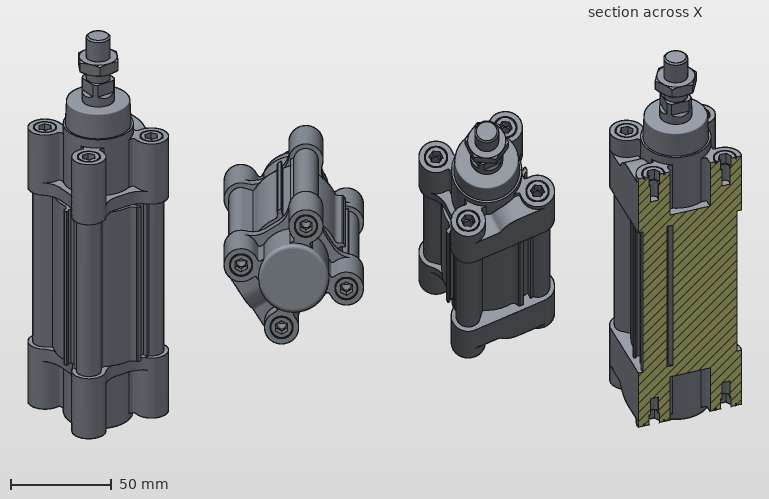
import cadquery as cq
import math

TOTAL_HEIGHT = 213.0
PILOT_HEIGHT = 4.5
CAP_HEIGHT = 33.9
TUBE_LENGTH = 86.7
FRONT_PILOT_TOP = 163.5
COLLAR_TOP = 177.0
ROD_SHOULDER_TOP = 189.1
TUBE_BOTTOM = PILOT_HEIGHT + CAP_HEIGHT
TUBE_TOP = TUBE_BOTTOM + TUBE_LENGTH

OUTER_WIDTH = 55.0
BOSS_RADIUS = 8.5
BOSS_OFFSET = OUTER_WIDTH / 2 - BOSS_RADIUS
CORE_WIDTH = 31.5
WEB_FILLET = 0.9
FLANGE_WIDTH = 41.3
FLANGE_THICKNESS = 7.0
FLANGE_FILLET = 12.4

SCREW_HEAD_DIAMETER = 10.6
SCREW_BORE_DIAMETER = 11.5
SCREW_GAP_DEPTH = 1.0
SOCKET_WIDTH = 6.0
SOCKET_DEPTH = 6.0
SCREW_THREAD_DIAMETER = 5.0
SCREW_THREAD_DEPTH = 16.0

PORT_HIGH_STEP = 30.5
PORT_ROUND_START = -5.3
PORT_ROUND_RADIUS = 11.7
PORT_ROUND_ANGLE = 60
PORT_FOOT_RADIUS = 2.3

PILOT_DIAMETER = 35.0
PILOT_EDGE_FILLET = 2.0
COLLAR_TOP_DIAMETER = 31.5
COLLAR_BOTTOM_DIAMETER = 32.8
COLLAR_EDGE_FILLET = 0.6

BARREL_RADIUS = 22.4
TUBE_CORNER_RADIUS = 6.2
CORNER_ARC_END = 15.3
BARREL_LEFT_END = -10.2
BARREL_RIGHT_END = 3.0
HOOK_STEM_X = 7.2
HOOK_TIP_X = 8.3
HOOK_TIP_Y = -25.1
SLOT_WALL_X = 13.0

ROD_DIAMETER = 16.0
ROD_FLATS_WIDTH = 13.0
ROD_FLATS_BOTTOM = 182.5
ROD_FLATS_RUNOUT = 1.3
THREAD_DIAMETER = 12.0
THREAD_CHAMFER = 0.9

NUT_WIDTH = 19.0
NUT_THICKNESS = 6.2
NUT_BOTTOM = 195.1
NUT_CHAMFER_HEIGHT = 0.6
NUT_CHAMFER_WIDTH = 1.5


def hexagon_diameter(width):
    """Diameter across corners of a hexagon with the given width across flats."""
    return width / math.cos(math.radians(30))


def hexagon_prism(width, height):
    """Hexagonal prism on Z = 0 with corners pointing along +Y and -Y."""
    prism = cq.Workplane("XY").polygon(6, hexagon_diameter(width)).extrude(height)
    return prism.rotate((0, 0, 0), (0, 0, 1), 90)


def boss_centers():
    """Centers of the four bosses at the corners of a square."""
    return [(sx * BOSS_OFFSET, sy * BOSS_OFFSET) for sx in (-1, 1) for sy in (-1, 1)]


def cap_column():
    """Square core joined to four round bosses by webs, standing on Z = 0."""
    core = cq.Workplane("XY").rect(CORE_WIDTH, CORE_WIDTH).extrude(CAP_HEIGHT)
    bosses = cq.Workplane("XY").pushPoints(boss_centers()).circle(BOSS_RADIUS).extrude(CAP_HEIGHT)
    column = core.union(bosses)
    half_core = CORE_WIDTH / 2
    inner = BOSS_OFFSET - BOSS_RADIUS
    edge_reach = 0.1
    for boss_x, boss_y in boss_centers():
        side_x = math.copysign(1, boss_x)
        side_y = math.copysign(1, boss_y)
        web_x = boss_x - side_x * BOSS_RADIUS / 2
        web_y = boss_y - side_y * BOSS_RADIUS / 2
        web = (
            cq.Workplane("XY", origin=(web_x, web_y, 0))
            .rect(BOSS_RADIUS, BOSS_RADIUS)
            .extrude(CAP_HEIGHT)
        )
        column = column.union(web)
        for x, y in ((side_x * half_core, side_y * inner), (side_x * inner, side_y * half_core)):
            corner = cq.selectors.BoxSelector(
                (x - edge_reach, y - edge_reach, 0),
                (x + edge_reach, y + edge_reach, CAP_HEIGHT),
            )
            column = column.edges("|Z").edges(corner).fillet(WEB_FILLET)
    return column


def cap_flange():
    """Plate at the tube end whose sides sweep in concave arcs out to the bosses."""
    half = FLANGE_WIDTH / 2
    arc_center_y = -half - FLANGE_FILLET
    rise = BOSS_OFFSET + arc_center_y
    reach = math.sqrt((BOSS_RADIUS + FLANGE_FILLET) ** 2 - rise ** 2)
    arc_center_x = BOSS_OFFSET - reach
    centers_distance = BOSS_RADIUS + FLANGE_FILLET
    tangent_x = arc_center_x + FLANGE_FILLET * reach / centers_distance
    tangent_y = arc_center_y - FLANGE_FILLET * rise / centers_distance
    filler = (
        cq.Workplane("XY")
        .moveTo(-tangent_x, tangent_y)
        .radiusArc((-arc_center_x, -half), FLANGE_FILLET)
        .lineTo(arc_center_x, -half)
        .radiusArc((tangent_x, tangent_y), FLANGE_FILLET)
        .lineTo(BOSS_OFFSET, -BOSS_OFFSET)
        .lineTo(0, 0)
        .lineTo(-BOSS_OFFSET, -BOSS_OFFSET)
        .close()
        .extrude(FLANGE_THICKNESS)
    )
    flange = filler
    for turn in (90, 180, 270):
        flange = flange.union(filler.rotate((0, 0, 0), (0, 0, 1), turn))
    return flange


def port_block():
    """Wall between the two +Y bosses; its top rolls down from a high to a low step."""
    sweep = math.radians(PORT_ROUND_ANGLE)
    round_end = PORT_ROUND_START + PORT_ROUND_RADIUS * math.sin(sweep)
    round_bottom = PORT_HIGH_STEP - PORT_ROUND_RADIUS * (1 - math.cos(sweep))
    foot_end = round_end + PORT_FOOT_RADIUS * math.sin(sweep)
    low_step = round_bottom - PORT_FOOT_RADIUS * (1 - math.cos(sweep))
    return (
        cq.Workplane("XZ", origin=(0, OUTER_WIDTH / 2, 0))
        .moveTo(-BOSS_OFFSET, 0)
        .lineTo(-BOSS_OFFSET, PORT_HIGH_STEP)
        .lineTo(PORT_ROUND_START, PORT_HIGH_STEP)
        .radiusArc((round_end, round_bottom), PORT_ROUND_RADIUS)
        .radiusArc((foot_end, low_step), -PORT_FOOT_RADIUS)
        .lineTo(BOSS_OFFSET, low_step)
        .lineTo(BOSS_OFFSET, 0)
        .close()
        .extrude((OUTER_WIDTH - CORE_WIDTH) / 2)
    )


def cut_screw_details(cap):
    """Gap around each screw head, its hexagon socket and the threaded hole below."""
    socket = hexagon_prism(SOCKET_WIDTH, SOCKET_DEPTH)
    for x, y in boss_centers():
        gap = (
            cq.Workplane("XY", origin=(x, y, CAP_HEIGHT - SCREW_GAP_DEPTH))
            .circle(SCREW_BORE_DIAMETER / 2)
            .circle(SCREW_HEAD_DIAMETER / 2)
            .extrude(SCREW_GAP_DEPTH)
        )
        thread = (
            cq.Workplane("XY", origin=(x, y, CAP_HEIGHT - SCREW_THREAD_DEPTH))
            .circle(SCREW_THREAD_DIAMETER / 2)
            .extrude(SCREW_THREAD_DEPTH)
        )
        cap = cap.cut(gap).cut(thread).cut(socket.translate((x, y, CAP_HEIGHT - SOCKET_DEPTH)))
    return cap


def make_cap():
    """End cap with its tube side on Z = 0 and its outer face at the cap height."""
    cap = cap_column().union(cap_flange()).union(port_block())
    return cut_screw_details(cap)


def make_tube():
    """Tube with four equal sides, each a barrel arc with a hooked sensor slot beside it.

    The points describe the -Y side from left to right; the other sides are its quarter turns.
    """
    corner_drop = math.sqrt(TUBE_CORNER_RADIUS ** 2 - (BOSS_OFFSET - CORNER_ARC_END) ** 2)
    corner_depth = BOSS_OFFSET + corner_drop
    corner_middle = BOSS_OFFSET + TUBE_CORNER_RADIUS * math.sqrt(0.5)

    def on_barrel(x):
        return (x, -math.sqrt(BARREL_RADIUS ** 2 - x ** 2))

    valley = (-11.5, -19.5)
    barrel_start = on_barrel(BARREL_LEFT_END)
    barrel_end = on_barrel(BARREL_RIGHT_END)
    hook_flank_middle = (4.7, -22.8)
    hook_flank_end = (5.8, -24.7)
    hook_tip = [(6.5, HOOK_TIP_Y), (HOOK_TIP_X, HOOK_TIP_Y), (HOOK_TIP_X, -24.3), (HOOK_STEM_X, -23.2)]
    slot_floor = [(HOOK_STEM_X, -21.5), (SLOT_WALL_X, -20.5)]
    corner_lip = [(SLOT_WALL_X, -23.6), (14.5, -23.2)]

    def turned(point, quarter):
        x, y = point
        for _ in range(quarter):
            x, y = -y, x
        return (x, y)

    profile = cq.Workplane("XY", origin=(0, 0, TUBE_BOTTOM)).moveTo(-CORNER_ARC_END, -corner_depth)
    for quarter in range(4):
        profile = (
            profile.lineTo(*turned(valley, quarter))
            .lineTo(*turned(barrel_start, quarter))
            .threePointArc(turned(on_barrel(0), quarter), turned(barrel_end, quarter))
            .threePointArc(turned(hook_flank_middle, quarter), turned(hook_flank_end, quarter))
        )
        for point in hook_tip + slot_floor + corner_lip + [(CORNER_ARC_END, -corner_depth)]:
            profile = profile.lineTo(*turned(point, quarter))
        profile = profile.threePointArc(
            turned((corner_middle, -corner_middle), quarter),
            turned((corner_depth, -CORNER_ARC_END), quarter),
        )
    return profile.close().extrude(TUBE_LENGTH)


def make_core():
    """Round core whose two ends are the rear and front pilots."""
    core = cq.Workplane("XY").circle(PILOT_DIAMETER / 2).extrude(FRONT_PILOT_TOP)
    return core.faces("<Z").edges().fillet(PILOT_EDGE_FILLET)


def make_collar():
    """Tapered collar on the front pilot that guides the rod."""
    return (
        cq.Workplane("XZ")
        .moveTo(0, FRONT_PILOT_TOP)
        .lineTo(COLLAR_BOTTOM_DIAMETER / 2, FRONT_PILOT_TOP)
        .lineTo(COLLAR_TOP_DIAMETER / 2, COLLAR_TOP)
        .lineTo(0, COLLAR_TOP)
        .close()
        .revolve(360, (0, 0, 0), (0, 1, 0))
        .faces(">Z")
        .edges()
        .fillet(COLLAR_EDGE_FILLET)
    )


def make_housing():
    """Tube, mirrored end caps, core and collar as one solid."""
    cap = make_cap()
    front_cap = cap.translate((0, 0, TUBE_TOP))
    rear_cap = cap.mirror("XY").translate((0, 0, TUBE_BOTTOM))
    housing = make_tube().union(front_cap).union(rear_cap)
    return housing.union(make_core()).union(make_collar())


def make_rod():
    """Piston rod standing on the collar, with four wrench flats and a threaded end."""
    shoulder = (
        cq.Workplane("XY", origin=(0, 0, COLLAR_TOP))
        .circle(ROD_DIAMETER / 2)
        .extrude(ROD_SHOULDER_TOP - COLLAR_TOP)
    )
    flat = ROD_FLATS_WIDTH / 2
    radius = ROD_DIAMETER / 2
    flat_cut = (
        cq.Workplane("XZ")
        .moveTo(flat, ROD_SHOULDER_TOP)
        .lineTo(flat, ROD_FLATS_BOTTOM)
        .lineTo(radius, ROD_FLATS_BOTTOM - ROD_FLATS_RUNOUT)
        .lineTo(radius, ROD_SHOULDER_TOP)
        .close()
        .extrude(radius, both=True)
    )
    for turn in (0, 90, 180, 270):
        shoulder = shoulder.cut(flat_cut.rotate((0, 0, 0), (0, 0, 1), turn))
    thread = (
        cq.Workplane("XY", origin=(0, 0, ROD_SHOULDER_TOP))
        .circle(THREAD_DIAMETER / 2)
        .extrude(TOTAL_HEIGHT - ROD_SHOULDER_TOP)
        .faces(">Z")
        .chamfer(THREAD_CHAMFER)
    )
    return shoulder.union(thread)


def make_nut():
    """Hexagon lock nut with its corners chamfered on both faces."""
    envelope = (
        cq.Workplane("XY")
        .circle(hexagon_diameter(NUT_WIDTH) / 2)
        .extrude(NUT_THICKNESS)
        .faces("<Z or >Z")
        .chamfer(NUT_CHAMFER_HEIGHT, NUT_CHAMFER_WIDTH)
    )
    bore = cq.Workplane("XY").circle(THREAD_DIAMETER / 2).extrude(NUT_THICKNESS)
    nut = hexagon_prism(NUT_WIDTH, NUT_THICKNESS).intersect(envelope).cut(bore)
    return nut.translate((0, 0, NUT_BOTTOM))


housing = make_housing()
rod = make_rod()
nut = make_nut()

result = cq.Compound.makeCompound([housing.val(), rod.val(), nut.val()])